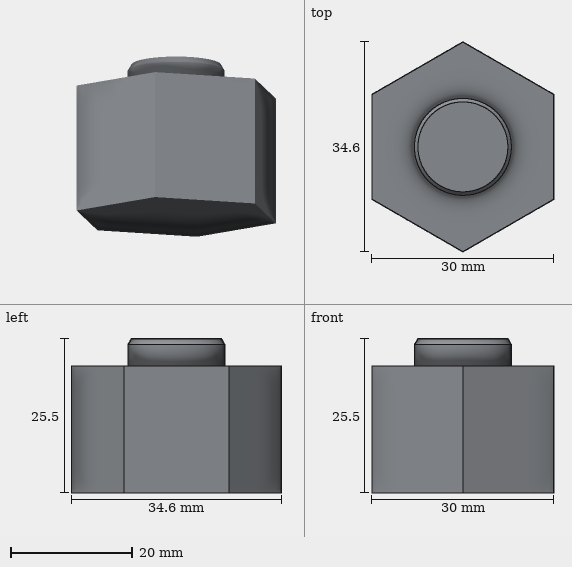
import cadquery as cq
import math

side_count = 6
across_flats = 30.0
across_corners = across_flats / math.cos(math.pi / side_count)
quarter_turn = 90.0
total_height = 25.5
body_height = 21.0

boss_diameter = 16.0
chamfer_height = 1.0
chamfer_angle_from_axis = 30.0
chamfer_inset = chamfer_height * math.tan(math.radians(chamfer_angle_from_axis))


def make_body():
    """Hexagonal prism standing on Z = 0."""
    prism = cq.Workplane("XY").polygon(side_count, across_corners).extrude(body_height)
    return prism.rotate((0, 0, 0), (0, 0, 1), quarter_turn)


def make_boss():
    """Chamfered cylinder standing on the top of the body, revolved about Z."""
    boss_radius = boss_diameter / 2
    rim_height = total_height - chamfer_height
    profile = [
        (0, body_height),
        (boss_radius, body_height),
        (boss_radius, rim_height),
        (boss_radius - chamfer_inset, total_height),
        (0, total_height),
    ]
    return cq.Workplane("XZ").polyline(profile).close().revolve(360, (0, 0, 0), (0, 1, 0))


result = make_body().union(make_boss())